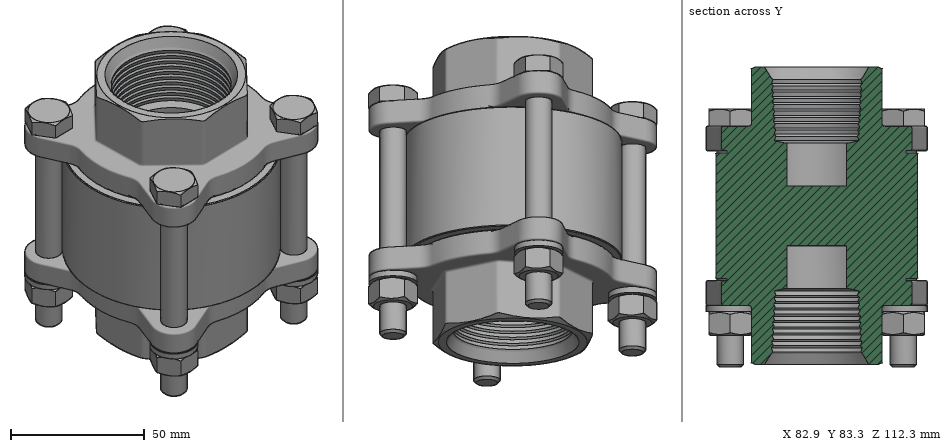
import cadquery as cq
import math


body_diameter = 81.8
body_half_height = 23.6
body_edge_chamfer = 0.3
gasket_diameter = 74.0

flange_inner_z = 24.3
flange_thickness = 9.3
flange_diameter = 76.4
flange_edge_radius = 0.8
bolt_spacing = 64.8
lobe_count = 4
lobe_diameter = 18.1
lobe_side_slope = 22.5
lobe_blend_radius = 7.9

end_face_z = 55.7
octagon_sides = 8
octagon_flats = 56.5
octagon_corner_radius = 2.5
octagon_base_radius = 0.9
octagon_rim_diameter = 55.7
corner_chamfer_angle = 30

mouth_diameter = 49.6
mouth_depth = 3.9
thread_top_diameter = 46
thread_bottom_diameter = 44.1
thread_pitch = 2.4
thread_turns = 10
thread_depth = 0.6
crest_drop = 0.8
seat_drop = 1.0
throat_diameter = 38.0
throat_floor_z = 11.2

bolt_diameter = 10.0
bolt_tip_z = -56.6
bolt_tip_chamfer = 1.0
hexagon_sides = 6
hexagon_flats = 16.0
head_height = 6.4
head_rim_diameter = 15.6
washer_thickness = 2.2
nut_height = 9
nut_rim_diameter = 14.6

flange_outer_z = flange_inner_z + flange_thickness
bolt_offset = bolt_spacing / 2
lobe_radius = lobe_diameter / 2

match_tolerance = 0.1


def cylinder(diameter, bottom_z, height):
    return cq.Workplane("XY").workplane(offset=bottom_z).circle(diameter / 2).extrude(height)


def chamfer_cone(rim_diameter, top_z, height):
    """Solid of revolution under a cone that starts at the rim of an end face."""
    rim_radius = rim_diameter / 2
    base_radius = rim_radius + height / math.tan(math.radians(corner_chamfer_angle))
    outline = [(0, top_z), (rim_radius, top_z), (base_radius, top_z - height), (0, top_z - height)]
    return cq.Workplane("XZ").polyline(outline).close().revolve(360, (0, 0), (0, 1))


def flange_lobe():
    """Lobe around one bolt, with tangent sides that widen until they meet the X and Y axes."""
    slope = math.radians(lobe_side_slope)
    tangent_near = bolt_offset - lobe_radius * math.sin(slope)
    tangent_far = bolt_offset + lobe_radius * math.cos(slope)
    side_foot = tangent_far - tangent_near * math.tan(slope)
    tip = bolt_offset + lobe_radius * math.cos(math.radians(45))
    return (
        cq.Workplane("XY").workplane(offset=flange_inner_z)
        .lineTo(0, side_foot)
        .lineTo(tangent_near, tangent_far)
        .threePointArc((tip, tip), (tangent_far, tangent_near))
        .lineTo(side_foot, 0)
        .close()
        .extrude(flange_thickness)
    )


def flange():
    """Flange with rounded edges, except for the sharp inner edge of its disc between the lobes."""
    lobe_step = 360 / lobe_count
    plate = cylinder(flange_diameter, flange_inner_z, flange_thickness)
    plate = plate.rotate((0, 0, 0), (0, 0, 1), lobe_step / 2)
    for index in range(lobe_count):
        plate = plate.union(flange_lobe().rotate((0, 0, 0), (0, 0, 1), lobe_step * index))

    def on_disc(edge):
        centre = edge.Center()
        return abs(math.hypot(centre.x, centre.y) - flange_diameter / 2) < match_tolerance

    plate = plate.edges("|Z").filter(on_disc).fillet(lobe_blend_radius)
    plate = plate.faces("<Z or >Z").edges().fillet(flange_edge_radius)
    return plate.union(cylinder(flange_diameter, flange_inner_z, flange_thickness - flange_edge_radius))


def octagon_socket():
    """Octagonal prism with flats facing along X and Y, its corners and outer rim eased."""
    half_side_angle = 180 / octagon_sides
    corner_diameter = octagon_flats / math.cos(math.radians(half_side_angle))
    height = end_face_z - flange_inner_z
    socket = (
        cq.Workplane("XY").workplane(offset=flange_inner_z)
        .polygon(octagon_sides, corner_diameter)
        .extrude(height)
        .rotate((0, 0, 0), (0, 0, 1), half_side_angle)
        .edges("|Z").fillet(octagon_corner_radius)
    )
    return socket.intersect(chamfer_cone(octagon_rim_diameter, end_face_z, height))


def threaded_port():
    """Cavity of one port: tapered mouth, tapered thread rings, sloping seat and blind throat."""
    thread_top_z = end_face_z - mouth_depth
    thread_bottom_z = thread_top_z - thread_turns * thread_pitch
    radius_step = (thread_top_diameter - thread_bottom_diameter) / 2 / thread_turns
    outline = [(0, end_face_z), (mouth_diameter / 2, end_face_z), (thread_top_diameter / 2, thread_top_z)]
    for turn in range(thread_turns):
        root_radius = thread_top_diameter / 2 - turn * radius_step
        root_z = thread_top_z - turn * thread_pitch
        outline.append((root_radius - thread_depth, root_z - crest_drop))
        outline.append((root_radius - radius_step, root_z - thread_pitch))
    outline.append((throat_diameter / 2, thread_bottom_z - seat_drop))
    outline.append((throat_diameter / 2, throat_floor_z))
    outline.append((0, throat_floor_z))
    return cq.Workplane("XZ").polyline(outline).close().revolve(360, (0, 0), (0, 1))


def end_piece():
    """Flange and octagonal socket, joined by a rounded root."""
    piece = flange().union(octagon_socket())

    def at_octagon_root(edge):
        centre = edge.Center()
        near_octagon = math.hypot(centre.x, centre.y) < octagon_flats / 2 + octagon_corner_radius
        return abs(centre.z - flange_outer_z) < match_tolerance and near_octagon

    return piece.edges().filter(at_octagon_root).fillet(octagon_base_radius)


def hexagon(bottom_z, height):
    """Hexagonal prism with two flats facing along X."""
    half_side_angle = 180 / hexagon_sides
    corner_diameter = hexagon_flats / math.cos(math.radians(half_side_angle))
    prism = (
        cq.Workplane("XY").workplane(offset=bottom_z)
        .polygon(hexagon_sides, corner_diameter)
        .extrude(height)
    )
    return prism.rotate((0, 0, 0), (0, 0, 1), half_side_angle)


def fastener():
    """Bolt with head, washer and nut, on the Z axis."""
    head_top_z = flange_outer_z + head_height
    head = hexagon(flange_outer_z, head_height)
    head = head.intersect(chamfer_cone(head_rim_diameter, head_top_z, head_height))

    shank = cylinder(bolt_diameter, bolt_tip_z, flange_outer_z - bolt_tip_z)
    shank = shank.faces("<Z").chamfer(bolt_tip_chamfer)

    washer_bottom_z = -flange_outer_z - washer_thickness
    washer = cylinder(lobe_diameter, washer_bottom_z, washer_thickness)

    nut = hexagon(washer_bottom_z - nut_height, nut_height)
    upper_cone = chamfer_cone(nut_rim_diameter, washer_bottom_z, nut_height)
    nut_middle_z = washer_bottom_z - nut_height / 2
    lower_cone = upper_cone.mirror("XY", (0, 0, nut_middle_z))
    nut = nut.intersect(upper_cone).intersect(lower_cone)
    return shank.union(head).union(washer).union(nut)


body = cylinder(body_diameter, -body_half_height, 2 * body_half_height)
body = body.faces("<Z or >Z").chamfer(body_edge_chamfer)
gasket = cylinder(gasket_diameter, -flange_inner_z, 2 * flange_inner_z)
upper_end = end_piece()
result = body.union(gasket).union(upper_end).union(upper_end.mirror("XY"))

fastener_set = fastener()
for x in (-bolt_offset, bolt_offset):
    for y in (-bolt_offset, bolt_offset):
        result = result.union(fastener_set.translate((x, y, 0)))

port = threaded_port()
result = result.cut(port).cut(port.mirror("XY"))